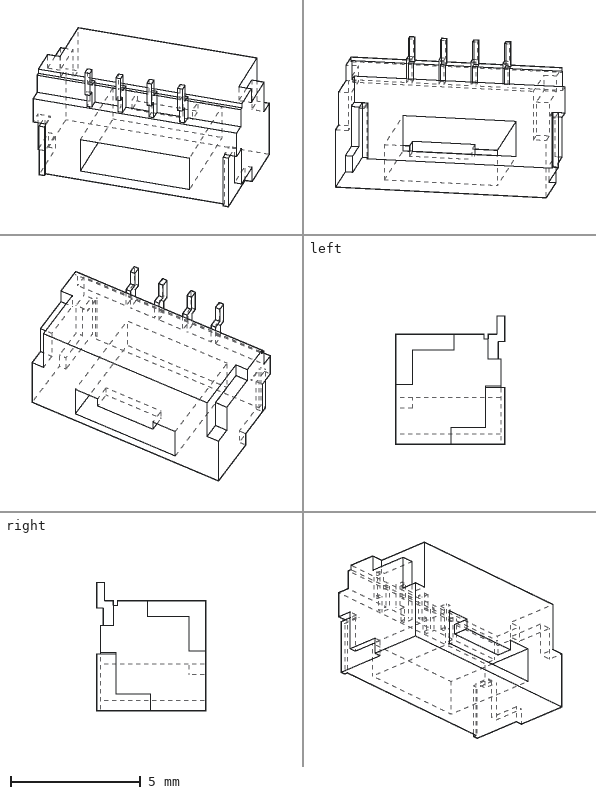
import cadquery as cq

length = 8.25
body_depth = 4.06
body_height = 4.25
overall_depth = 4.2
overall_height = 4.95
front_y = -overall_depth

groove_back_y = -3.41
groove_floor_z = 4.06
pin_wall_y = -3.555
pin_ledge_z = 3.29

recess_depth = 0.5
upper_recess_depth_y = 2.25
upper_recess_floor_z = 3.63
back_recess_depth_y = 0.65
back_recess_floor_z = 2.3
lower_recess_back_y = -2.14
lower_recess_height = 0.65
front_recess_back_y = -3.45
front_recess_top_z = 2.24

plate_thickness = 0.215
plate_top_z = 2.195

window_width = 4.42
window_bottom_z = 0.4
window_top_z = 1.81
tongue_width = 2.44
tongue_drop = 0.41
tongue_thickness = 0.65

pin_count = 4
pin_pitch = 1.25
pin_width = 0.2
pin_foot_front_y = -3.95
pin_tip_back_y = -3.89
pin_tip_bottom_z = 3.96


def extrude_profile(points, x_start, width):
    """Extrude a closed (Y, Z) outline along +X from x_start."""
    return cq.Workplane("YZ", origin=(x_start, 0, 0)).polyline(points).close().extrude(width)


def make_box(width, y_back, y_front, z_bottom, z_top):
    """Box centred on X between the given Y and Z planes."""
    profile = [(y_back, z_bottom), (y_front, z_bottom), (y_front, z_top), (y_back, z_top)]
    return extrude_profile(profile, -width / 2, width)


def mirrored_pair(solid):
    """The solid together with its mirror image at the other end."""
    return solid.union(solid.mirror("YZ"))


def make_housing():
    profile = [
        (0, 0),
        (-body_depth, 0),
        (-body_depth, pin_ledge_z),
        (pin_wall_y, pin_ledge_z),
        (pin_wall_y, groove_floor_z),
        (groove_back_y, groove_floor_z),
        (groove_back_y, body_height),
        (0, body_height),
    ]
    return extrude_profile(profile, -length / 2, length)


def make_upper_recesses():
    profile = [
        (0, body_height),
        (-upper_recess_depth_y, body_height),
        (-upper_recess_depth_y, upper_recess_floor_z),
        (-back_recess_depth_y, upper_recess_floor_z),
        (-back_recess_depth_y, back_recess_floor_z),
        (0, back_recess_floor_z),
    ]
    return mirrored_pair(extrude_profile(profile, -length / 2, recess_depth))


def lower_end_profile(top_z):
    """L outline shared by the lower recesses and their plates."""
    return [
        (lower_recess_back_y, 0),
        (front_y, 0),
        (front_y, top_z),
        (front_recess_back_y, top_z),
        (front_recess_back_y, lower_recess_height),
        (lower_recess_back_y, lower_recess_height),
    ]


def make_lower_recesses():
    profile = lower_end_profile(front_recess_top_z)
    return mirrored_pair(extrude_profile(profile, -length / 2, recess_depth))


def make_plates():
    plate_x = -length / 2 + recess_depth - plate_thickness
    return mirrored_pair(extrude_profile(lower_end_profile(plate_top_z), plate_x, plate_thickness))


def make_window():
    opening = make_box(window_width, 0, -body_depth, window_bottom_z, window_top_z)
    tongue = make_box(tongue_width, 0, -tongue_thickness, window_top_z - tongue_drop, window_top_z)
    return opening.cut(tongue)


def make_pin(x_center):
    profile = [
        (pin_wall_y, pin_ledge_z),
        (pin_foot_front_y, pin_ledge_z),
        (pin_foot_front_y, pin_tip_bottom_z),
        (front_y, pin_tip_bottom_z),
        (front_y, overall_height),
        (pin_tip_back_y, overall_height),
        (pin_tip_back_y, body_height),
        (pin_wall_y, body_height),
    ]
    return extrude_profile(profile, x_center - pin_width / 2, pin_width)


result = make_housing()
result = result.cut(make_upper_recesses())
result = result.cut(make_lower_recesses())
result = result.cut(make_window())
result = result.union(make_plates())
for index in range(pin_count):
    result = result.union(make_pin((index - (pin_count - 1) / 2) * pin_pitch))